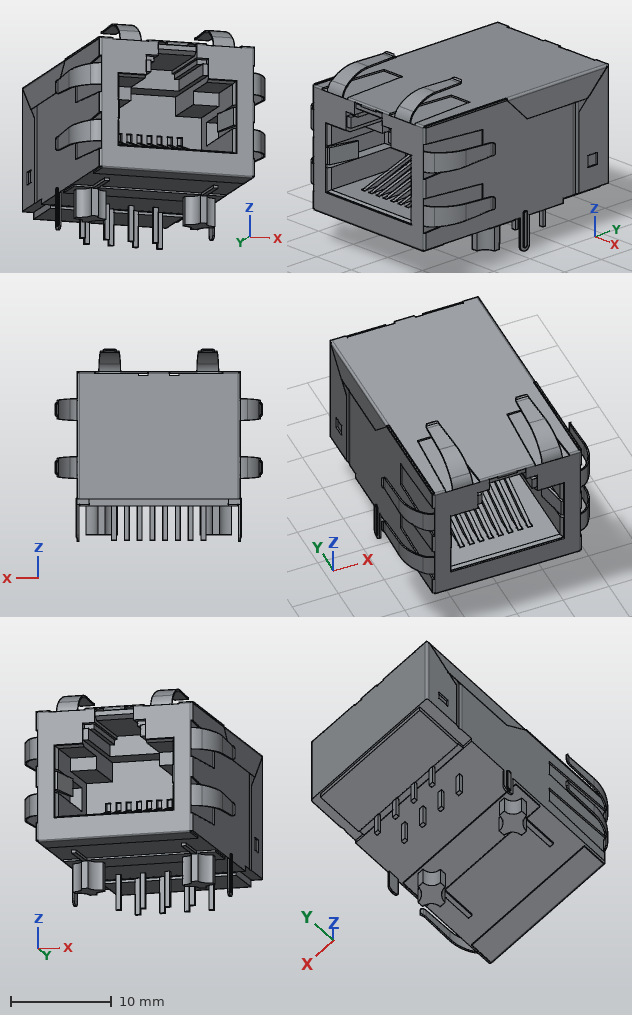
import cadquery as cq
import math


half_width = 8.12
length = 25.35
height = 13.35
sheet = 0.18
bend = 0.25
seat_height = 0.18
overlap_step = 0.02

finger_rise = 2.0
finger_thickness = 0.16
finger_knee = 0.59
finger_knee_rise = 0.8
finger_flat_start = 3.77
finger_flat_end = 7.2
finger_tip = 7.65
finger_kick = 0.18
finger_crease = 7.45
finger_crease_lift = 0.05
finger_half_base = 1.1
finger_half_tip = 0.67
finger_tip_chamfer = 0.22
window_half_base = 1.85
window_half_end = 1.35
window_length = 8.02
top_finger_x = 4.87
top_finger_lift = 0.07
side_finger_heights = (3.83, 9.59)

opening_half = 6.19
opening_bottom = 2.37
opening_top = 9.78
lead_in = 0.27
lead_in_depth = 0.55
mouth_step = 0.05
floor_rise = 0.22
cavity_half = opening_half - lead_in
cavity_bottom = opening_bottom + floor_rise
cavity_top = opening_top - lead_in
cavity_depth = 10.7
shoulder_z = 8.17
shoulder_start = 5.0
key_half = 3.25
key_step_z = 10.13
key_top = 11.81
latch_half = 2.71
latch_shelf_z = 11.3
latch_neck_half = 2.25
latch_depth = 8.0
latch_roof = 12.15
latch_lip = 12.5
latch_pocket_depth = 0.7
notch_half = 2.0
notch_top = 12.98

spring_bottom = 5.29
spring_top = 7.11
spring_reach = 5.35
spring_end = 3.75
spring_root = 5.95
spring_root_y = 0.3
spring_thickness = 0.2
pocket_bottom = 4.97
pocket_top = 7.35
pocket_end = 9.0
pocket_half = 7.15

contact_count = 8
contact_pitch = 1.054
contact_width = 0.4
contact_slot = 0.52
contact_thickness = 0.3
contact_front = 2.94
contact_back_z = spring_bottom
contact_slot_top = 6.03
contact_slot_depth = 0.4
toe_slot_length = 0.3
toe_slot_depth = 0.3

pin_count = 8
pin_pitch = 1.27
pin_width = 0.5
pin_depth = 0.38
pin_bottom = -3.41
pin_rows = (17.08, 19.62)

peg_x = 5.68
peg_y = 10.72
peg_half = 1.57
peg_arm_half = 0.35
peg_bottom = -2.86

tab_y = 13.78
tab_width = 1.28
tab_corner = 0.627
tab_bottom = -3.51
tab_top = 1.2
bead_width = 0.56
bead_height = 0.11
bead_bottom = -3.15
bead_top = 0.82
bead_chamfer = 0.08

relief_front = 0.2
flap_bottom = 10.49
flap_front_bottom = 14.06
flap_front_top = 11.33
flap_rear_bottom = 22.3
flap_rear_top = 25.0
wrap_front = 21.17
groove_bottom_y = 20.73
groove_front = 20.36
groove_depth = 0.1
seam_width = 0.07
top_edge = height - sheet
latch_square = 1.28
latch_square_y = 23.03
latch_square_z = 3.73
skirt_top = 0.71
skirt_inset = 1.2
skirt_front = 19.75
skirt_relief_front = 19.02
skirt_relief_bottom = 0.27

rear_slot_inner = 1.03
rear_slot_outer = 6.4
rear_slot_depth = 0.37
rear_slot_slope = 0.1
vent_inner = 1.07
front_lip_length = 2.84
lip_radius = 0.16
base_front = 9.1
base_rear = 12.55
foot_front = 5.24
foot_bottom = -0.1
foot_half = 0.24


def box(x0, x1, y0, y1, z0, z1):
    """Block between two opposite corners."""
    return cq.Workplane("XY").box(x1 - x0, y1 - y0, z1 - z0, centered=False).translate((x0, y0, z0))


def slab(points, x0, x1):
    """Outline in (y, z), extruded from x0 to x1."""
    return cq.Workplane("YZ").polyline(points).close().extrude(x1 - x0).translate((x0, 0, 0))


def both_sides(shape):
    """The shape together with its mirror image across the middle plane."""
    return shape.union(shape.mirror("YZ"))


def shell():
    """Outer block with rounded sheet bends and a stepped underside."""
    block = box(-half_width, half_width, 0, length, seat_height, height)
    body = block.edges("|Z").fillet(bend)
    body = body.intersect(block.edges("|Y and >Z").fillet(bend))
    body = body.intersect(block.edges("|X and >Z").fillet(sheet))
    corner = box(half_width - bend, half_width, bend, flap_front_top, height - bend, height)
    body = body.union(both_sides(corner))
    body = body.union(box(-half_width + bend, half_width - bend, 0, front_lip_length, 0, 2 * sheet)
                      .edges("|X and <Y and <Z").fillet(lip_radius))
    body = body.union(box(-half_width + bend, half_width - bend, base_front, base_rear, 0, 2 * sheet))
    foot = box(peg_x - foot_half, peg_x + foot_half, foot_front, base_front, foot_bottom, 2 * sheet)
    body = body.union(both_sides(foot))
    return body.cut(box(-half_width, half_width, skirt_relief_front, length, 0, skirt_top))


def rear_skirt():
    """Housing visible below the rear cover."""
    half = half_width - skirt_inset
    skirt = box(-half, half, skirt_front, length - sheet, 0, skirt_top)
    return skirt.union(box(-half, half, skirt_relief_front, skirt_front, skirt_relief_bottom, skirt_top))


def side_relief():
    """Cutter at +X that leaves the top flap and the rear wing standing out from the side sheet."""
    face = half_width - overlap_step
    wing_corner_z = flap_bottom - (flap_rear_bottom - wrap_front)
    sheet_area = slab([(relief_front, 0), (wrap_front, 0), (wrap_front, wing_corner_z),
                       (flap_rear_bottom, flap_bottom), (flap_front_bottom, flap_bottom),
                       (flap_front_top, top_edge), (relief_front, top_edge)], face, half_width)
    groove = (cq.Workplane("XY")
              .polyline([(half_width, wrap_front), (half_width - groove_depth, groove_bottom_y),
                         (face, groove_front), (half_width, groove_front)])
              .close().extrude(flap_bottom))
    seam = slab([(flap_rear_bottom, flap_bottom), (flap_rear_top, top_edge),
                 (flap_rear_top + seam_width, top_edge), (flap_rear_bottom + seam_width, flap_bottom)],
                half_width - sheet, half_width)
    square = box(half_width - sheet, half_width,
                 latch_square_y - latch_square / 2, latch_square_y + latch_square / 2,
                 latch_square_z - latch_square / 2, latch_square_z + latch_square / 2)
    joint_inner = half_width - sheet - seam_width
    butt_joint = box(joint_inner, joint_inner + seam_width, bend, flap_front_top, height - seam_width, height)
    return sheet_area.union(groove).union(seam).union(square).union(butt_joint)


def rear_slot():
    """Cutter for the slot in the top rear edge at +X."""
    slot_front = length - rear_slot_depth
    return (cq.Workplane("XY")
            .polyline([(rear_slot_inner, length), (rear_slot_inner + rear_slot_slope, slot_front),
                       (rear_slot_outer - rear_slot_slope, slot_front), (rear_slot_outer, length)])
            .close().extrude(sheet).translate((0, 0, top_edge)))


def plug_cavity():
    """Cutter for the plug opening, the latch keyway and the pockets beside them."""
    center_z = (opening_bottom + opening_top) / 2
    inner_center = (cavity_bottom + cavity_top) / 2 - center_z
    mouth = (cq.Workplane("XZ", origin=(0, sheet, center_z))
             .rect(2 * (opening_half - mouth_step), opening_top - opening_bottom - 2 * mouth_step)
             .workplane(offset=sheet - lead_in_depth).center(0, inner_center)
             .rect(2 * cavity_half, cavity_top - cavity_bottom).loft())
    opening = box(-opening_half, opening_half, 0, sheet, opening_bottom, opening_top)
    cavity = opening.union(mouth)
    cavity = cavity.union(box(-cavity_half, cavity_half, 0, cavity_depth, cavity_bottom, shoulder_z))
    cavity = cavity.union(box(-cavity_half, cavity_half, 0, shoulder_start, shoulder_z, cavity_top))
    cavity = cavity.union(box(-key_half, key_half, 0, cavity_depth, shoulder_z, key_step_z))
    cavity = cavity.union(box(-key_half, key_half, 0, sheet, key_step_z, key_top))
    cavity = cavity.union(box(-notch_half, notch_half, 0, sheet, key_top, notch_top))
    cavity = cavity.union(box(-latch_half, latch_half, 0, latch_depth, key_step_z, latch_shelf_z))
    cavity = cavity.union(box(-key_half, key_half, 0, latch_pocket_depth, latch_shelf_z, key_top))
    cavity = cavity.union(box(-latch_neck_half, latch_neck_half, 0, latch_depth, latch_shelf_z, key_top))
    roof = slab([(0, key_top), (latch_depth, key_top), (latch_depth, latch_roof),
                 (lead_in_depth + sheet, latch_roof), (sheet, latch_lip), (0, latch_lip)],
                -notch_half, notch_half)
    vent = box(vent_inner, notch_half, 0, length, notch_top, top_edge)
    spring_pocket = box(0, pocket_half, sheet, pocket_end, pocket_bottom, pocket_top)
    return cavity.union(roof).union(both_sides(vent)).union(both_sides(spring_pocket))


def side_spring():
    """Leaf at +X rooted in the front sheet and leaning from the mouth into the cavity."""
    root_outer = opening_half + sheet
    return (cq.Workplane("XY")
            .polyline([(spring_root, spring_root_y), (spring_reach, spring_end),
                       (spring_reach + spring_thickness, spring_end), (root_outer, spring_root_y),
                       (root_outer, sheet / 2), (opening_half, sheet / 2), (opening_half, spring_root_y)])
            .close().extrude(spring_top - spring_bottom).translate((0, 0, spring_bottom)))


def contact_places():
    """X positions of the evenly spaced contacts."""
    first = -(contact_count - 1) / 2 * contact_pitch
    return [first + i * contact_pitch for i in range(contact_count)]


def contact_slots():
    """Cutters in the rear wall and at the contact toes."""
    slots = cq.Workplane("XY")
    toe_front = contact_front - toe_slot_length / 2
    for x in contact_places():
        left = x - contact_slot / 2
        right = x + contact_slot / 2
        slots = slots.union(box(left, right, cavity_depth, cavity_depth + contact_slot_depth,
                                cavity_bottom, contact_slot_top))
        slots = slots.union(box(left, right, toe_front, contact_front + toe_slot_length,
                                cavity_bottom - toe_slot_depth, cavity_bottom))
    return slots


def contacts():
    """Wires rising from the cavity floor into the rear wall."""
    slot_back = cavity_depth + contact_slot_depth
    slope = (contact_back_z - cavity_bottom) / (slot_back - contact_front)
    back = slot_back + sheet
    back_top = cavity_bottom + slope * (back - contact_front)
    toe_front = contact_front - toe_slot_length / 2
    outline = [(toe_front, cavity_bottom - toe_slot_depth - sheet),
               (toe_front, cavity_bottom - slope * toe_slot_length / 2),
               (back, back_top), (back, back_top - contact_thickness),
               (contact_front + toe_slot_length, cavity_bottom - toe_slot_depth - sheet)]
    wires = cq.Workplane("XY")
    for x in contact_places():
        wires = wires.union(slab(outline, x - contact_width / 2, x + contact_width / 2))
    return wires


def finger_window():
    """Cutter for the tapered window around a top finger at x = 0."""
    return (cq.Workplane("XY")
            .polyline([(-window_half_base, 0), (window_half_base, 0),
                       (window_half_end, window_length), (-window_half_end, window_length)])
            .close().extrude(sheet).translate((0, 0, top_edge)))


def arc_point(center, radius, angle):
    """Point on a circle, the angle measured from the upward direction towards the front."""
    return center[0] - radius * math.sin(angle), center[1] + radius * math.cos(angle)


def finger():
    """Spring finger at x = 0 curling up from the front edge of the top face."""
    drop = finger_rise - finger_knee_rise
    run = finger_flat_start - finger_knee
    bow = (run ** 2 + drop ** 2) / (2 * drop)
    bow_center = (finger_flat_start, finger_rise - bow)
    knee = math.asin(run / bow)
    curl = finger_knee / (1 - math.sin(knee))
    curl_center = (curl, finger_knee_rise - curl * math.cos(knee))
    inner_bow = bow - finger_thickness
    inner_curl = curl - finger_thickness
    curl_mid = (knee + math.pi / 2) / 2
    inner_rise = finger_rise - finger_thickness
    band = (cq.Workplane("YZ")
            .moveTo(*arc_point(curl_center, curl, math.pi / 2))
            .threePointArc(arc_point(curl_center, curl, curl_mid), arc_point(curl_center, curl, knee))
            .threePointArc(arc_point(bow_center, bow, knee / 2), (finger_flat_start, finger_rise))
            .lineTo(finger_flat_end, finger_rise)
            .lineTo(finger_crease, finger_rise + finger_crease_lift)
            .lineTo(finger_tip, finger_rise + finger_kick)
            .lineTo(finger_tip + finger_thickness / 2, finger_rise + finger_kick - finger_thickness)
            .lineTo(finger_crease, inner_rise + finger_crease_lift)
            .lineTo(finger_flat_end, inner_rise)
            .lineTo(finger_flat_start, inner_rise)
            .threePointArc(arc_point(bow_center, inner_bow, knee / 2), arc_point(bow_center, inner_bow, knee))
            .threePointArc(arc_point(curl_center, inner_curl, curl_mid),
                           arc_point(curl_center, inner_curl, math.pi / 2))
            .close().extrude(finger_half_base, both=True))
    end = finger_tip + finger_thickness / 2
    plan = (cq.Workplane("XY")
            .polyline([(-finger_half_base, 0), (finger_half_base, 0), (finger_half_tip, end),
                       (-finger_half_tip, end)])
            .close().extrude(2 * height, both=True)
            .edges("|Z and >Y").chamfer(finger_tip_chamfer))
    return band.intersect(plan).translate((0, 0, height))


def on_all_faces(feature, top_lift):
    """Copies of a top-face feature at both top places and all four side places."""
    copies = both_sides(feature.translate((top_finger_x, 0, top_lift)))
    sideways = feature.translate((0, 0, half_width - height)).rotate((0, 0, 0), (0, 1, 0), 90)
    for z in side_finger_heights:
        copies = copies.union(both_sides(sideways.translate((0, 0, z))))
    return copies


def solder_pins():
    """Two staggered rows of straight pins."""
    pins = cq.Workplane("XY")
    for i in range(pin_count):
        x = (i - (pin_count - 1) / 2) * pin_pitch
        y = pin_rows[i % 2]
        pins = pins.union(box(x - pin_width / 2, x + pin_width / 2, y - pin_depth / 2, y + pin_depth / 2,
                              pin_bottom, skirt_top + sheet))
    return pins


def peg():
    """Locating peg at +X: a square with its four corners scooped out."""
    tall = seat_height + sheet - peg_bottom
    post = cq.Workplane("XY").rect(2 * peg_half, 2 * peg_half).extrude(tall)
    corners = [(sx * peg_half, sy * peg_half) for sx in (-1, 1) for sy in (-1, 1)]
    scoops = cq.Workplane("XY").pushPoints(corners).circle(peg_half - peg_arm_half).extrude(tall)
    return post.cut(scoops).translate((peg_x, peg_y, peg_bottom))


def ground_tab():
    """Round-ended board tab at +X with a raised stiffening bead."""
    face = half_width - overlap_step
    radius = tab_width / 2
    blade = box(face - sheet, face, tab_y - radius, tab_y + radius, tab_bottom, tab_top)
    blade = blade.edges("|X and <Z").fillet(tab_corner)
    bead_center = (bead_bottom + bead_top) / 2
    bead = (cq.Workplane("YZ", origin=(face - sheet / 2, tab_y, bead_center))
            .slot2D(bead_top - bead_bottom, bead_width, 90).extrude(sheet / 2 + bead_height + overlap_step)
            .faces(">X").chamfer(bead_chamfer))
    return blade.union(bead)


body = shell().cut(both_sides(side_relief())).cut(both_sides(rear_slot())).union(rear_skirt())
body = body.cut(plug_cavity()).cut(contact_slots()).cut(on_all_faces(finger_window(), 0))
body = body.union(contacts()).union(both_sides(side_spring())).union(on_all_faces(finger(), top_finger_lift))
result = body.union(solder_pins()).union(both_sides(peg())).union(both_sides(ground_tab()))